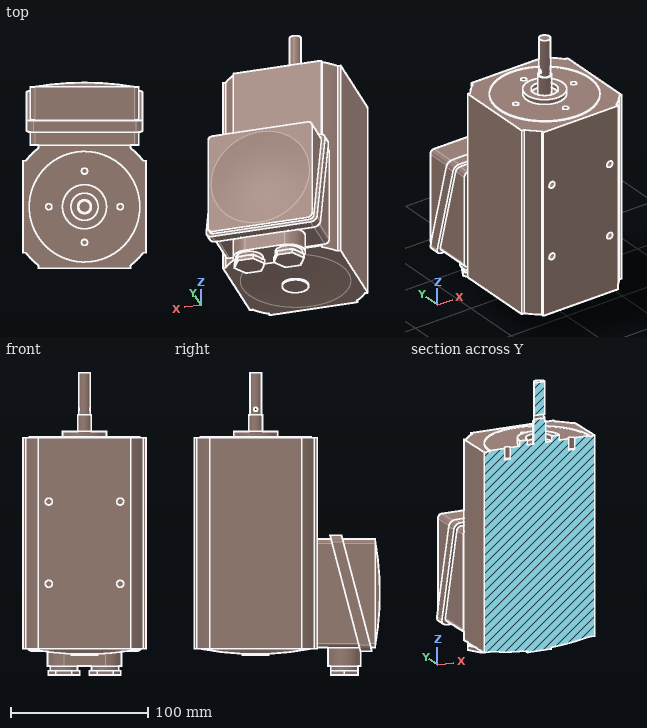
import cadquery as cq
import math

HOUSING_WIDTH = 90.0
HOUSING_BOTTOM = 19.2
HOUSING_TOP = 173.0
FLAT_WIDTH = 67.3
CORNER_RADIUS = 54.5
HALF_WIDTH = HOUSING_WIDTH / 2
HOUSING_HEIGHT = HOUSING_TOP - HOUSING_BOTTOM

BOTTOM_DOME_DIAMETER = 80.7
BOTTOM_DOME_RISE = 4.0
BOTTOM_BOSS_DIAMETER = 19.5
BOTTOM_BOSS_END = 14.3

DISC_DIAMETER = 80.7
DISC_HEIGHT = 0.7
DISC_TOP = HOUSING_TOP + DISC_HEIGHT
HUB_DIAMETER = 32.2
HUB_TOP = 177.7
HUB_BORE_DIAMETER = 19.8
HUB_BORE_DEPTH = 4.0
SHAFT_LOWER_DIAMETER = 10.1
SHAFT_UPPER_DIAMETER = 8.5
SHAFT_STEP = 189.9
SHAFT_TOP = 220.5
PIN_HOLE_DIAMETER = 2.6
PIN_HOLE_HEIGHT = 193.8

HOLE_OFFSET = 26.0
TOP_HOLE_DIAMETER = 4.5
FRONT_HOLE_DIAMETER = 5.0
FRONT_HOLE_HEIGHTS = (66.5, 126.5)
HOLE_DEPTH = 8.8

BOX_SIZE = 79.4
BOX_DEPTH = 42.3
BOX_CORNER_RADIUS = 3.3
BOX_CENTRE_HEIGHT = 59.8
BOX_BACK = HALF_WIDTH + BOX_DEPTH
BOX_BOTTOM = BOX_CENTRE_HEIGHT - BOX_SIZE / 2
BOX_DOME_DIAMETER = 75.0
BOX_DOME_RISE = 3.3

RIM_SIZE = 84.7
RIM_CORNER_RADIUS = 4.9
RIM_WIDTH = 8.4
RIM_MID_Y = 69.5
RIM_TILT = 14.7

OUTLET_Y = 64.5
OUTLET_DIAMETER = 24.0
OUTLET_BOTTOM = 6.6
GLAND_SPACING = 30.0
GLAND_DIAMETER = 20.0
NUT_ACROSS_FLATS = 20.0
NUT_HEIGHT = 3.3


def cylinder(diameter, bottom, top):
    """Cylinder on the shaft axis between two heights."""
    return cq.Workplane("XY").workplane(offset=bottom).circle(diameter / 2).extrude(top - bottom)


def dome(diameter, rise):
    """Spherical cap standing on the XY plane, axis along +Z."""
    radius = diameter / 2
    sphere_radius = (radius**2 + rise**2) / (2 * rise)
    mid_angle = math.asin(radius / sphere_radius) / 2
    middle = (
        sphere_radius * math.sin(mid_angle),
        rise - sphere_radius * (1 - math.cos(mid_angle)),
    )
    profile = cq.Workplane("XZ").lineTo(radius, 0).threePointArc(middle, (0, rise)).close()
    return profile.revolve(360, (0, 0, 0), (0, 1, 0))


def rounded_square_along_y(size, corner_radius, start, length):
    """Square prism along +Y at the box centre, with its long edges rounded."""
    prism = cq.Workplane("XY").box(size, length, size).edges("|Y").fillet(corner_radius)
    return prism.translate((0, start + length / 2, BOX_CENTRE_HEIGHT))


def make_housing():
    def block(width, depth):
        return cq.Workplane("XY").workplane(offset=HOUSING_BOTTOM).rect(width, depth).extrude(HOUSING_HEIGHT)

    corners = cylinder(2 * CORNER_RADIUS, HOUSING_BOTTOM, HOUSING_TOP)
    corners = corners.intersect(block(HOUSING_WIDTH, HOUSING_WIDTH))
    body = corners.union(block(HOUSING_WIDTH, FLAT_WIDTH)).union(block(FLAT_WIDTH, HOUSING_WIDTH))
    bottom_dome = dome(BOTTOM_DOME_DIAMETER, BOTTOM_DOME_RISE).rotate((0, 0, 0), (1, 0, 0), 180)
    body = body.union(bottom_dome.translate((0, 0, HOUSING_BOTTOM)))
    body = body.union(cylinder(BOTTOM_BOSS_DIAMETER, BOTTOM_BOSS_END, HOUSING_BOTTOM))
    body = body.union(cylinder(DISC_DIAMETER, HOUSING_TOP, DISC_TOP))
    return body.union(cylinder(HUB_DIAMETER, DISC_TOP, HUB_TOP))


def make_shaft():
    shaft = cylinder(SHAFT_LOWER_DIAMETER, HUB_TOP - HUB_BORE_DEPTH, SHAFT_STEP)
    shaft = shaft.union(cylinder(SHAFT_UPPER_DIAMETER, SHAFT_STEP, SHAFT_TOP))
    pin_hole = cq.Workplane("YZ").center(0, PIN_HOLE_HEIGHT).circle(PIN_HOLE_DIAMETER / 2)
    return shaft.cut(pin_hole.extrude(SHAFT_LOWER_DIAMETER, both=True))


def make_top_holes():
    holes = cq.Workplane("XY").workplane(offset=DISC_TOP).polarArray(HOLE_OFFSET, 0, 360, 4)
    return holes.circle(TOP_HOLE_DIAMETER / 2).extrude(-HOLE_DEPTH)


def make_front_holes():
    places = [(x, z) for x in (-HOLE_OFFSET, HOLE_OFFSET) for z in FRONT_HOLE_HEIGHTS]
    face = cq.Workplane("XZ", origin=(0, -HALF_WIDTH, 0))
    return face.pushPoints(places).circle(FRONT_HOLE_DIAMETER / 2).extrude(-HOLE_DEPTH)


def make_rim():
    """Rounded square ring trimmed by two parallel planes that lean towards +Y at the bottom."""
    lean = RIM_SIZE / 2 * math.tan(math.radians(RIM_TILT))
    low_y = RIM_MID_Y + lean
    high_y = RIM_MID_Y - lean
    low_z = BOX_CENTRE_HEIGHT - RIM_SIZE / 2
    high_z = BOX_CENTRE_HEIGHT + RIM_SIZE / 2
    half = RIM_WIDTH / 2
    side = [(low_y - half, low_z), (low_y + half, low_z), (high_y + half, high_z), (high_y - half, high_z)]
    slab = cq.Workplane("YZ").polyline(side).close().extrude(RIM_SIZE, both=True)
    return rounded_square_along_y(RIM_SIZE, RIM_CORNER_RADIUS, HALF_WIDTH, BOX_DEPTH).intersect(slab)


def make_terminal_box():
    box = rounded_square_along_y(BOX_SIZE, BOX_CORNER_RADIUS, HALF_WIDTH, BOX_DEPTH)
    back_dome = dome(BOX_DOME_DIAMETER, BOX_DOME_RISE).rotate((0, 0, 0), (1, 0, 0), -90)
    return box.union(back_dome.translate((0, BOX_BACK, BOX_CENTRE_HEIGHT))).union(make_rim())


def make_cable_outlet():
    """Oblong block under the box carrying two glands with hexagonal nuts."""
    outlet = (
        cq.Workplane("XY", origin=(0, OUTLET_Y, OUTLET_BOTTOM))
        .slot2D(GLAND_SPACING + OUTLET_DIAMETER, OUTLET_DIAMETER)
        .extrude(BOX_BOTTOM - OUTLET_BOTTOM)
    )
    nut_across_corners = NUT_ACROSS_FLATS / math.cos(math.radians(30))
    for x in (-GLAND_SPACING / 2, GLAND_SPACING / 2):
        base = cq.Workplane("XY", origin=(x, OUTLET_Y, 0))
        nut = base.polygon(6, nut_across_corners).extrude(NUT_HEIGHT)
        neck_height = OUTLET_BOTTOM - NUT_HEIGHT
        neck = base.workplane(offset=NUT_HEIGHT).circle(GLAND_DIAMETER / 2).extrude(neck_height)
        outlet = outlet.union(neck).union(nut)
    return outlet


hub_bore = cylinder(HUB_BORE_DIAMETER, HUB_TOP - HUB_BORE_DEPTH, HUB_TOP)
housing = make_housing().cut(hub_bore).cut(make_top_holes()).cut(make_front_holes())
result = housing.union(make_shaft()).union(make_terminal_box()).union(make_cable_outlet())